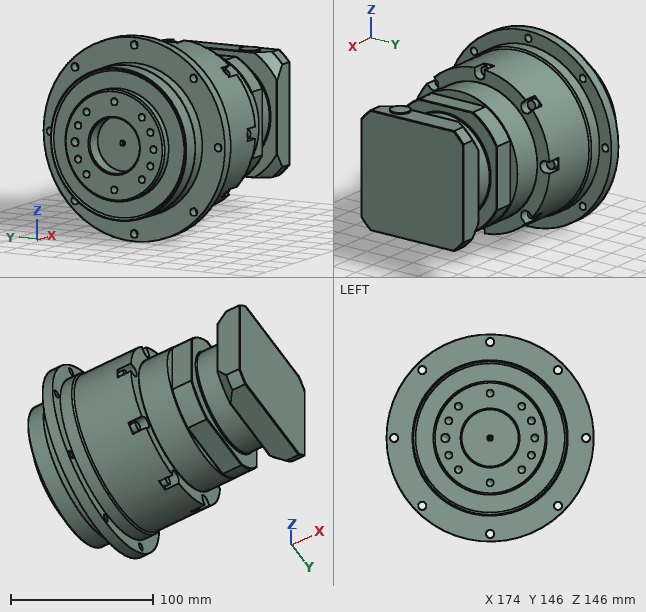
import cadquery as cq
import math


pilot_start = 6.0
pilot_seam = 19.0
flange_start = 29.0
flange_end = 37.4
collar_end = 48.0
body_end = 94.5
ring_end = 118.3
flats_end = 134.7
motor_plate_start = 155.4
motor_plate_corner = 163.0
total_length = 174.0

output_radius = 40.0
pilot_radius = 54.8
pilot_tip_radius = 54.6
flange_diameter = 146.0
flange_radius = flange_diameter / 2
collar_radius = 62.5
body_radius = 61.2
ring_radius = 51.0
flatted_radius = 50.8
neck_radius = 39.3
neck_end_radius = 39.8

output_chamfer = 1.2
pilot_chamfer = 0.5
collar_chamfer = collar_radius - body_radius
neck_taper_length = 1.0
small_chamfer = 0.5

recess_diameter = 105.0
recess_radius = recess_diameter / 2
recess_rim_radius = 54.0
recess_depth = 1.0

bore_radius = 20.0
bore_depth = 12.2
bore_chamfer = 0.9
center_cone_diameter = 4.0
center_hole_diameter = 2.0
center_hole_depth = 3.5
output_hole_circle = 31.5
thread_hole_diameter = 5.0
dowel_hole_diameter = 6.0
output_hole_depth = 8.7
thread_hole_angles = [0, 45, 67.5, 90, 112.5, 135, 180, 225, 247.5, 292.5, 315]
dowel_hole_angle = 270
drill_point_angle = 118

flange_hole_count = 8
flange_hole_diameter = 5.5
flange_hole_circle = 67.5

notch_count = 8
notch_start = 83.5
notch_width = 8.7
screw_circle = 57.5
screw_diameter = 7.0
screw_length = 4.5

flat_distance = 44.9
motor_plate_corner_radius = 58.0
motor_plate_front_radius = 51.9

plug_x = 162.0
plug_y = -19.3
plug_radius = 7.5
plug_top_radius = 4.5
plug_rim_height = 1.0
plug_dome_height = 0.5


def turned(profile):
    """Solid of revolution about X from (x, radius) points that start and end on the axis."""
    return cq.Workplane("XY").polyline(profile).close().revolve(360, (0, 0, 0), (1, 0, 0))


def x_cylinder(start, end, radius, y=0.0, z=0.0):
    """Cylinder along X between two stations."""
    return cq.Workplane("YZ", origin=(start, y, z)).circle(radius).extrude(end - start)


def square_bar(start, end):
    """Square block about the axis, between two stations."""
    side = 2 * flat_distance
    return cq.Workplane("YZ", origin=(start, 0, 0)).rect(side, side).extrude(end - start)


def around_axis(feature, angle):
    """Turn a feature built on the +Z side about the X axis, from +Z toward -Y."""
    return feature.rotate((0, 0, 0), (1, 0, 0), angle)


def drilled_hole(start, depth, diameter):
    """Blind hole on the axis with a conical drill point."""
    radius = diameter / 2
    point_length = radius / math.tan(math.radians(drill_point_angle / 2))
    return turned([
        (start, 0),
        (start, radius),
        (start + depth, radius),
        (start + depth + point_length, 0),
    ])


def front_housing():
    """Output flange, pilot, mounting flange, collar, body and ring."""
    return turned([
        (0, 0),
        (0, output_radius - output_chamfer),
        (output_chamfer, output_radius),
        (pilot_start + recess_depth, output_radius),
        (pilot_start + recess_depth, recess_radius),
        (pilot_start, recess_rim_radius),
        (pilot_start, pilot_tip_radius - pilot_chamfer),
        (pilot_start + pilot_chamfer, pilot_tip_radius),
        (pilot_seam, pilot_tip_radius),
        (pilot_seam, pilot_radius),
        (flange_start, pilot_radius),
        (flange_start, flange_radius),
        (flange_end, flange_radius),
        (flange_end, collar_radius),
        (collar_end - collar_chamfer, collar_radius),
        (collar_end, body_radius),
        (body_end, body_radius),
        (body_end, ring_radius - small_chamfer),
        (body_end + small_chamfer, ring_radius),
        (ring_end, ring_radius),
        (ring_end, 0),
    ])


def flatted_section():
    """Round section with four flats behind the ring."""
    round_part = x_cylinder(ring_end, flats_end, flatted_radius)
    section = round_part.intersect(square_bar(ring_end, flats_end))
    return section.faces("<X or >X").chamfer(small_chamfer)


def neck():
    """Cylinder between the flats and the motor plate, flaring slightly at both ends."""
    return turned([
        (flats_end, 0),
        (flats_end, neck_end_radius),
        (flats_end + neck_taper_length, neck_radius),
        (motor_plate_start - neck_taper_length, neck_radius),
        (motor_plate_start, neck_end_radius),
        (motor_plate_start, 0),
    ])


def motor_plate():
    """Square plate with round corners that taper toward the neck."""
    round_part = turned([
        (motor_plate_start, 0),
        (motor_plate_start, motor_plate_front_radius),
        (motor_plate_corner, motor_plate_corner_radius),
        (total_length, motor_plate_corner_radius),
        (total_length, 0),
    ])
    plate = round_part.intersect(square_bar(motor_plate_start, total_length))
    front_straight_edges = plate.faces("<X").edges("|Y or |Z")
    return front_straight_edges.chamfer(small_chamfer).faces(">X").chamfer(small_chamfer)


def output_bore():
    """Chamfered centre bore with a small centre hole in its floor."""
    bore = turned([
        (0, 0),
        (0, bore_radius + bore_chamfer),
        (bore_chamfer, bore_radius),
        (bore_depth, bore_radius),
        (bore_depth, 0),
    ])
    cone_radius = center_cone_diameter / 2
    hole_radius = center_hole_diameter / 2
    countersink = turned([
        (bore_depth, 0),
        (bore_depth, cone_radius),
        (bore_depth + cone_radius - hole_radius, hole_radius),
        (bore_depth + cone_radius - hole_radius, 0),
    ])
    center_hole = drilled_hole(bore_depth, center_hole_depth, center_hole_diameter)
    return bore.union(countersink).union(center_hole)


def output_hole(diameter, angle):
    """Blind hole in the output face."""
    hole = drilled_hole(0, output_hole_depth, diameter).translate((0, 0, output_hole_circle))
    return around_axis(hole, angle)


def flange_hole(angle):
    """Through hole in the mounting flange."""
    hole = x_cylinder(flange_start, flange_end, flange_hole_diameter / 2, z=flange_hole_circle)
    return around_axis(hole, angle)


def screw_notch(angle):
    """U-shaped notch open outward and to the rear, with a screw head standing in it."""
    bottom = x_cylinder(notch_start, body_end, notch_width / 2, z=screw_circle)
    notch_length = body_end - notch_start
    outer_part = cq.Workplane("XY", origin=(notch_start, 0, screw_circle)).box(
        notch_length, notch_width, notch_width, centered=(False, True, False)
    )
    screw = x_cylinder(notch_start, notch_start + screw_length, screw_diameter / 2, z=screw_circle)
    return around_axis(bottom.union(outer_part).cut(screw), angle)


def make_gearbox():
    gearbox = front_housing().union(flatted_section()).union(neck()).union(motor_plate())
    gearbox = gearbox.cut(output_bore())
    for angle in thread_hole_angles:
        gearbox = gearbox.cut(output_hole(thread_hole_diameter, angle))
    gearbox = gearbox.cut(output_hole(dowel_hole_diameter, dowel_hole_angle))
    for index in range(flange_hole_count):
        gearbox = gearbox.cut(flange_hole(index * 360 / flange_hole_count))
    for index in range(notch_count):
        gearbox = gearbox.cut(screw_notch(index * 360 / notch_count))
    return gearbox


def make_plug():
    """Round plug cap resting on the top flat of the motor plate."""
    return (
        cq.Workplane("XZ")
        .polyline([
            (0, 0),
            (plug_radius, 0),
            (plug_radius, plug_rim_height),
            (plug_top_radius, plug_rim_height + plug_dome_height),
            (0, plug_rim_height + plug_dome_height),
        ])
        .close()
        .revolve(360, (0, 0, 0), (0, 1, 0))
        .translate((plug_x, plug_y, flat_distance))
    )


gearbox = make_gearbox()
plug = make_plug()

result = cq.Compound.makeCompound([gearbox.val(), plug.val()])